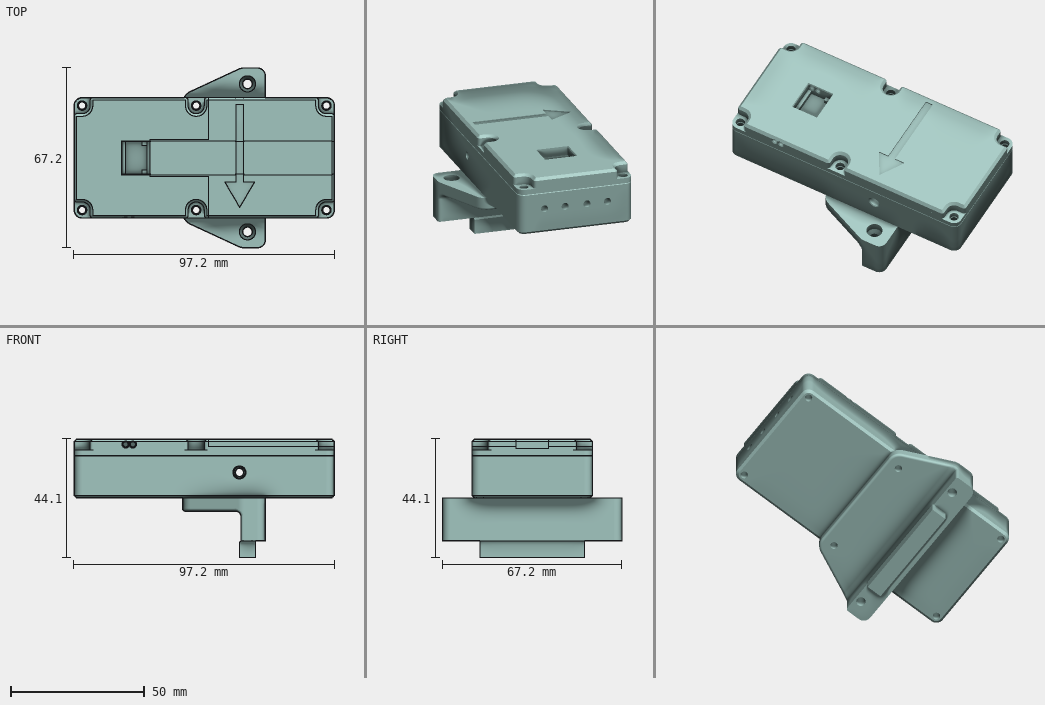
import cadquery as cq
import math

LENGTH = 97.2
WIDTH = 45.0
CORNER_RADIUS = 3.0
EDGE_CHAMFER = 1.0
HOUSING_HEIGHT = 15.9
LID_HEIGHT = 6.0
LID_TOP = HOUSING_HEIGHT + LID_HEIGHT
SEAM_CHAMFER = 0.3

SCREW_INSET = 3.0
SCREW_CLEARANCE_DIA = 3.5
SCREW_PILOT_DIA = 2.7
MIDDLE_SCREW_X = -3.0
SCREW_X = LENGTH / 2 - SCREW_INSET
SCREW_Y = WIDTH / 2 - SCREW_INSET
SIDES = (-1, 1)
SCREW_POINTS = [(x, side * SCREW_Y) for x in (-SCREW_X, MIDDLE_SCREW_X, SCREW_X) for side in SIDES]

NOTCH_DIA = 6.0
NOTCH_DEPTH = 4.0
NOTCH_LIP_RADIUS = 1.1

SLOT_WIDTH = 12.1
SLOT_DEPTH = 3.5
SLOT_CHAMFER = 0.3
SLOT_CHAMFER_DEPTH = 0.5
SLOT_START_X = -30.6
STRIP_START_X = -20.2
WELL_START_X = -29.4
WELL_END_X = -21.4
WELL_DEPTH = 5.4
TAB_LENGTH = 1.8
TAB_WIDTH = 1.5
TAB_DROP = 0.2

INLAY_DEPTH = 2.7
INLAY_START_X = 1.7
INLAY_TONGUE_HALF_WIDTH = 6.9

ARROW_X = 13.2
ARROW_TAIL_Y = 19.9
ARROW_HEAD_Y = -9.0
ARROW_TIP_Y = -18.5
ARROW_SHAFT_HALF = 1.5
ARROW_HEAD_HALF = 5.5
ARROW_DEPTH = 0.5

CROSS_HOLE_DIA = 1.9
CROSS_HOLE_RIM_DIA = 2.7
CROSS_HOLE_DROP = 1.9
CROSS_HOLE_XS = (WELL_START_X, WELL_START_X + CROSS_HOLE_RIM_DIA)
CROSS_HOLE_BLIND = 2.9

SIDE_HOLE_Z = 9.5
THROUGH_HOLE_X = 13.1
THROUGH_HOLE_DIA = 3.0
THROUGH_BORE_DIA = 4.2
THROUGH_BORE_DEPTH = 4.9
THROUGH_RIM_DIA = 4.9
END_HOLE_DIA = 2.7
END_HOLE_DEPTH = 4.9
END_HOLE_YS = (-12.3, -4.3, 4.3, 12.3)

BRACKET_LEFT_X = -8.1
BRACKET_RIGHT_X = 22.8
BRACKET_WIDTH = 67.2
BRACKET_CORNER_RADIUS = 3.0
BRACKET_BEND_RADIUS = 5.0
BRACKET_SHOULDER_X = 13.8
BRACKET_NOSE_HALF = 23.4
PLATE_THICKNESS = 5.0
LEG_HEIGHT = 16.0
LEG_LEFT_X = 13.7
BRACKET_INNER_RADIUS = 2.0
BRACKET_EDGE_RADIUS = 1.0
LUG_HOLE_X = 16.1
LUG_HOLE_Y = 27.6
LUG_HOLE_DIA = 3.5
LUG_BORE_DIA = 6.0
LUG_BORE_DEPTH = 3.0

PAD_LEFT_X = 13.1
PAD_LENGTH = 6.0
PAD_WIDTH = 39.2
PAD_HEIGHT = 6.2
PAD_CHAMFER = 0.6

MARGIN = 0.1


def block(x_limits, y_limits, z_limits):
    """Box spanning three pairs of limits, each pair in either order."""
    limits = (x_limits, y_limits, z_limits)
    sizes = [abs(end - start) for start, end in limits]
    corner = tuple(min(pair) for pair in limits)
    return cq.Workplane("XY").box(*sizes, centered=False).translate(corner)


def cylinder_along_y(x, z, y_start, y_end, dia):
    return cq.Workplane("XZ", origin=(x, y_start, z)).circle(dia / 2).extrude(y_start - y_end)


def rim_chamfer(x, z, y, rim_dia, hole_dia):
    """45 degree cone that starts at rim_dia and narrows to hole_dia along +Y."""
    depth = (rim_dia - hole_dia) / 2
    cone = cq.Solid.makeCone(rim_dia / 2, hole_dia / 2, depth, cq.Vector(x, y, z), cq.Vector(0, 1, 0))
    return cq.Workplane(cone)


def rounded_box(z0, height):
    return (
        cq.Workplane("XY", origin=(0, 0, z0))
        .rect(LENGTH, WIDTH)
        .extrude(height)
        .edges("|Z")
        .fillet(CORNER_RADIUS)
    )


def screw_holes(dia, z0, height):
    return cq.Workplane("XY", origin=(0, 0, z0)).pushPoints(SCREW_POINTS).circle(dia / 2).extrude(height)


def make_housing():
    housing = rounded_box(0, HOUSING_HEIGHT)
    housing = housing.faces("<Z").edges().chamfer(EDGE_CHAMFER)
    housing = housing.faces(">Z").edges().chamfer(SEAM_CHAMFER)
    housing = housing.cut(screw_holes(SCREW_PILOT_DIA, 0, HOUSING_HEIGHT))

    place = (THROUGH_HOLE_X, SIDE_HOLE_Z)
    front = -WIDTH / 2
    bore_end = front + THROUGH_BORE_DEPTH
    housing = housing.cut(cylinder_along_y(*place, front, -front, THROUGH_HOLE_DIA))
    housing = housing.cut(cylinder_along_y(*place, front, bore_end, THROUGH_BORE_DIA))
    housing = housing.cut(rim_chamfer(*place, front, THROUGH_RIM_DIA, THROUGH_BORE_DIA))

    end_holes = (
        cq.Workplane("YZ", origin=(-LENGTH / 2, 0, SIDE_HOLE_Z))
        .pushPoints([(y, 0) for y in END_HOLE_YS])
        .circle(END_HOLE_DIA / 2)
        .extrude(END_HOLE_DEPTH)
    )
    return housing.cut(end_holes)


def screw_notch(x, y):
    """Round pocket at a screw, opened straight out to the nearest outer walls."""
    half = NOTCH_DIA / 2
    shelf = LID_TOP - NOTCH_DEPTH
    heights = (shelf, LID_TOP)
    notch = cq.Workplane("XY", origin=(x, y, shelf)).circle(half).extrude(NOTCH_DEPTH)
    notch = notch.union(block((x - half, x + half), (y, math.copysign(WIDTH / 2, y)), heights))
    if x != MIDDLE_SCREW_X:
        notch = notch.union(block((x, math.copysign(LENGTH / 2, x)), (y - half, y + half), heights))
    return notch


def is_on_outer_wall(edge):
    centre = edge.Center()
    on_end = math.isclose(abs(centre.x), LENGTH / 2, abs_tol=MARGIN)
    on_side = math.isclose(abs(centre.y), WIDTH / 2, abs_tol=MARGIN)
    return on_end or on_side


def make_lid_blank():
    """Outer shape of the lid, its inlays and its strip together."""
    shelf = LID_TOP - NOTCH_DEPTH
    base = rounded_box(HOUSING_HEIGHT, LID_HEIGHT - NOTCH_DEPTH)

    upper = block((-LENGTH / 2, LENGTH / 2), (-WIDTH / 2, WIDTH / 2), (shelf, LID_TOP))
    for x, y in SCREW_POINTS:
        upper = upper.cut(screw_notch(x, y))
    upper = upper.edges("|Z").filter(is_on_outer_wall).fillet(NOTCH_LIP_RADIUS)
    upper = upper.faces(">Z").edges().chamfer(EDGE_CHAMFER)

    return base.union(upper).cut(screw_holes(SCREW_CLEARANCE_DIA, HOUSING_HEIGHT, LID_HEIGHT))


def slot_space(start_x):
    """Slot with chamfered top edges, from start_x out through the +X end."""
    half = SLOT_WIDTH / 2
    floor = LID_TOP - SLOT_DEPTH
    profile = [
        (-half, floor),
        (half, floor),
        (half, LID_TOP - SLOT_CHAMFER_DEPTH),
        (half + SLOT_CHAMFER, LID_TOP),
        (-half - SLOT_CHAMFER, LID_TOP),
        (-half, LID_TOP - SLOT_CHAMFER_DEPTH),
    ]
    section = cq.Workplane("YZ", origin=(start_x, 0, 0)).polyline(profile).close()
    return section.extrude(LENGTH / 2 - start_x)


def inlay_space(side):
    """Room for one inlay: half of the +X end plus a thin tongue beside the strip."""
    outline = [
        (STRIP_START_X, 0),
        (LENGTH / 2, 0),
        (LENGTH / 2, side * WIDTH / 2),
        (INLAY_START_X, side * WIDTH / 2),
        (INLAY_START_X, side * INLAY_TONGUE_HALF_WIDTH),
        (STRIP_START_X, side * INLAY_TONGUE_HALF_WIDTH),
    ]
    space = cq.Workplane("XY", origin=(0, 0, LID_TOP - INLAY_DEPTH)).polyline(outline).close()
    return space.extrude(INLAY_DEPTH).cut(slot_space(STRIP_START_X))


def arrow_engraving():
    outline = [
        (ARROW_X - ARROW_SHAFT_HALF, ARROW_TAIL_Y),
        (ARROW_X - ARROW_SHAFT_HALF, ARROW_HEAD_Y),
        (ARROW_X - ARROW_HEAD_HALF, ARROW_HEAD_Y),
        (ARROW_X, ARROW_TIP_Y),
        (ARROW_X + ARROW_HEAD_HALF, ARROW_HEAD_Y),
        (ARROW_X + ARROW_SHAFT_HALF, ARROW_HEAD_Y),
        (ARROW_X + ARROW_SHAFT_HALF, ARROW_TAIL_Y),
    ]
    arrow = cq.Workplane("XY", origin=(0, 0, LID_TOP - ARROW_DEPTH)).polyline(outline).close()
    return arrow.extrude(ARROW_DEPTH)


def slot_end_chamfer():
    """Wedge that chamfers the top edge of the slot's closed end."""
    wedge = [
        (SLOT_START_X, LID_TOP - SLOT_CHAMFER_DEPTH),
        (SLOT_START_X, LID_TOP),
        (SLOT_START_X - SLOT_CHAMFER, LID_TOP),
    ]
    top_width = SLOT_WIDTH + 2 * SLOT_CHAMFER
    return cq.Workplane("XZ", origin=(0, top_width / 2, 0)).polyline(wedge).close().extrude(top_width)


def window_well():
    """Well below the slot floor, less a tab in both corners at its +X end."""
    half = SLOT_WIDTH / 2
    slot_floor = LID_TOP - SLOT_DEPTH
    well_floor = LID_TOP - WELL_DEPTH
    well = block((WELL_START_X, WELL_END_X), (-half, half), (well_floor, slot_floor))
    for side in SIDES:
        tab = block(
            (WELL_END_X - TAB_LENGTH, WELL_END_X),
            (side * half, side * (half - TAB_WIDTH)),
            (well_floor, slot_floor - TAB_DROP),
        )
        well = well.cut(tab)
    return well


def make_lid(blank):
    lid = blank.cut(slot_space(SLOT_START_X)).cut(slot_end_chamfer()).cut(window_well())
    for side in SIDES:
        lid = lid.cut(inlay_space(side))

    front = -WIDTH / 2
    far_wall = SLOT_WIDTH / 2
    hole_z = LID_TOP - CROSS_HOLE_DROP
    for x in CROSS_HOLE_XS:
        lid = lid.cut(cylinder_along_y(x, hole_z, front, far_wall + CROSS_HOLE_BLIND, CROSS_HOLE_DIA))
        for y in (front, far_wall):
            lid = lid.cut(rim_chamfer(x, hole_z, y, CROSS_HOLE_RIM_DIA, CROSS_HOLE_DIA))
    return lid


def make_strip(blank):
    return blank.intersect(slot_space(STRIP_START_X)).cut(arrow_engraving())


def make_inlay(blank, side):
    return blank.intersect(inlay_space(side)).cut(arrow_engraving())


def lug_hole(y):
    """Screw hole down through the leg, with a straight bore and a conical seat."""
    seat_depth = LUG_BORE_DEPTH + (LUG_BORE_DIA - LUG_HOLE_DIA) / 2
    half_profile = [
        (0, 0),
        (LUG_BORE_DIA / 2, 0),
        (LUG_BORE_DIA / 2, -LUG_BORE_DEPTH),
        (LUG_HOLE_DIA / 2, -seat_depth),
        (LUG_HOLE_DIA / 2, -LEG_HEIGHT),
        (0, -LEG_HEIGHT),
    ]
    hole = cq.Workplane("XZ").polyline(half_profile).close().revolve(360, (0, 0, 0), (0, 1, 0))
    return hole.translate((LUG_HOLE_X, y, 0))


def is_sloped_corner(edge):
    """Whether an upright edge of the bracket outline lies at an end of a sloped side."""
    return edge.Center().x < BRACKET_SHOULDER_X + MARGIN


def is_outer_edge(edge):
    """Whether an edge follows the bracket outline below the plate and down the leg."""
    centre = edge.Center()
    below_plate = -LEG_HEIGHT + MARGIN < centre.z < -PLATE_THICKNESS + MARGIN
    left_of_leg = centre.x < LEG_LEFT_X + MARGIN
    on_nose = centre.x < BRACKET_LEFT_X + MARGIN
    off_centre = abs(centre.y) > MARGIN
    return below_plate and left_of_leg and (on_nose or off_centre)


def make_bracket():
    half = BRACKET_WIDTH / 2
    outline = [
        (BRACKET_LEFT_X, -BRACKET_NOSE_HALF),
        (BRACKET_SHOULDER_X, -half),
        (BRACKET_RIGHT_X, -half),
        (BRACKET_RIGHT_X, half),
        (BRACKET_SHOULDER_X, half),
        (BRACKET_LEFT_X, BRACKET_NOSE_HALF),
    ]
    bracket = cq.Workplane("XY").polyline(outline).close().extrude(-LEG_HEIGHT)
    bracket = bracket.edges("|Z").edges(">X").fillet(BRACKET_CORNER_RADIUS)
    bracket = bracket.edges("|Z").filter(is_sloped_corner).fillet(BRACKET_BEND_RADIUS)

    relief = block((BRACKET_LEFT_X, LEG_LEFT_X), (-half, half), (-LEG_HEIGHT, -PLATE_THICKNESS))
    relief = relief.edges("|Y").edges(">X and >Z").fillet(BRACKET_INNER_RADIUS)
    bracket = bracket.cut(relief)
    bracket = bracket.edges().filter(is_outer_edge).fillet(BRACKET_EDGE_RADIUS)

    for side in SIDES:
        bracket = bracket.cut(lug_hole(side * LUG_HOLE_Y))
    return bracket.cut(screw_holes(SCREW_PILOT_DIA, -PLATE_THICKNESS, PLATE_THICKNESS))


def make_pad():
    pad = block(
        (PAD_LEFT_X, PAD_LEFT_X + PAD_LENGTH),
        (-PAD_WIDTH / 2, PAD_WIDTH / 2),
        (-LEG_HEIGHT - PAD_HEIGHT, -LEG_HEIGHT),
    )
    return pad.faces("<X").edges(">Z").chamfer(PAD_CHAMFER)


housing = make_housing()
lid_blank = make_lid_blank()
lid = make_lid(lid_blank)
strip = make_strip(lid_blank)
inlays = [make_inlay(lid_blank, side) for side in SIDES]
bracket = make_bracket()
pad = make_pad()

bodies = [housing, lid, strip, *inlays, bracket, pad]
result = cq.Compound.makeCompound([body.solids().val() for body in bodies])